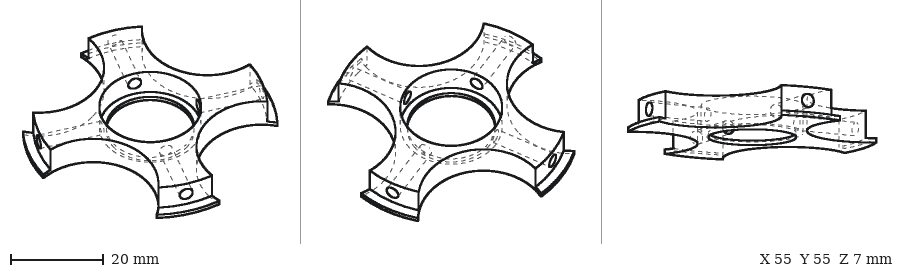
import cadquery as cq

outer_diameter = 55.0
body_diameter = 50.6
height = 7.0
flange_thickness = 1.0

arm_count = 4
arm_angle = 360 / arm_count
scallop_radius = 14.1
scallop_distance = 27.0

through_diameter = 19.0
seat_diameter = 22.0
seat_height = flange_thickness
radial_hole_diameter = 2.9
radial_hole_height = (flange_thickness + height) / 2


def disc(diameter, bottom, top):
    """Upright cylinder on the Z axis between two heights."""
    return cq.Workplane("XY").workplane(offset=bottom).circle(diameter / 2).extrude(top - bottom)


def scallops():
    """Four cylinders that leave a cross with four arms."""
    return (
        cq.Workplane("XY")
        .polarArray(scallop_distance, arm_angle / 2, 360, arm_count)
        .circle(scallop_radius)
        .extrude(height)
    )


def radial_hole(angle):
    """Hole running outwards from the centre along one arm."""
    hole = (
        cq.Workplane("YZ")
        .center(0, radial_hole_height)
        .circle(radial_hole_diameter / 2)
        .extrude(outer_diameter / 2)
    )
    return hole.rotate((0, 0, 0), (0, 0, 1), angle)


result = disc(outer_diameter, 0, flange_thickness).union(disc(body_diameter, 0, height))
result = result.cut(scallops())

result = result.cut(disc(through_diameter, 0, height))
result = result.cut(disc(seat_diameter, seat_height, height))

for arm in range(arm_count):
    result = result.cut(radial_hole(arm * arm_angle))